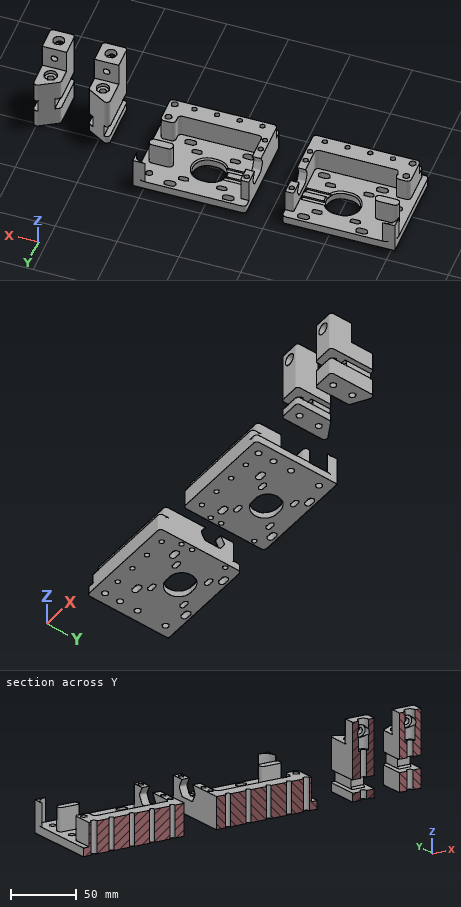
import cadquery as cq
import math

total_length = 305.7
plate_pair_span = 211.8
post_pair_start = 243.5

plate_length = 91.5
plate_width = 78.0
plate_thickness = 7.3
plate_height = 27.0
corner_radius = 3.0

rail_outer_x = 5.0
rail_front_y = 5.2
rail_back_y = 20.2
ledge_height = 16.2
block_inner_x = 16.8
block_back_y = 29.3
arm_inner_x = 84.5
arm_back_y = 70.5
arm_tip_radius = 1.5

notch_y = 50.7
notch_floor_z = 13.0
notch_floor_width = 14.7
notch_side_slope = 30.0
notch_corner_radius = 2.5

spandrel_radius = 9.8
fin_start_x = 5.0
fin_length = 19.3
fin_thickness = 6.5
fin_y = 53.8

motor_x = 52.0
motor_y = 49.5
slot_travel = 4.0
motor_hole_diameter = 23.0
motor_hole_chamfer = 1.2
motor_hole_chamfer_angle = 45.0
small_slot_pitch = 31.0
small_slot_diameter = 4.0
large_slot_pitch = 47.0
large_slot_diameter = 5.2
channel_span = 13.0
channel_rib_width = 5.0
channel_depth = 1.5
channel_end_x = 83.8
channel_end_radius = 1.5

outer_hole_diameter = 5.2
outer_hole_x = 9.8
outer_hole_ys = (9.8, 24.0, 41.0, 68.0)
screw_hole_diameter = 4.0
front_row_start_x = 25.7
front_row_pitch = 18.3
front_row_count = 4
arm_hole_x = 87.7
arm_hole_ys = (23.5, 33.5, 65.5)

post_width = 20.0
post_short_side = 32.5
post_back_angle = 30.0
post_height = 64.2
post_corner_radius = 2.5
post_tip_radius = 3.0
tower_depth = 20.0
shoulder_height = 44.0
clamp_gap = 10.5
neck_width = 11.3
neck_front_y = 18.3
neck_chamfer = 1.5
bolt_hole_diameter = 5.2
bolt_y = 9.8
shoulder_bolt_y = 28.0
cross_hole_z = 54.0
head_bore_diameter = 10.0
tower_bore_diameter = 9.0
tower_bore_depth = 24.5
shoulder_bore_depth = 3.0
cross_bore_depth = 15.3


def cylinders(points, diameter, height):
    """Vertical cylinders standing on z = 0."""
    return cq.Workplane("XY").pushPoints(points).circle(diameter / 2).extrude(height)


def box(x0, x1, y0, y1, z0, z1):
    """Box between two corner points."""
    return cq.Workplane("XY").box(x1 - x0, y1 - y0, z1 - z0, centered=False).translate((x0, y0, z0))


def make_rail():
    """L-shaped rail with a ledge along the front and the notch across its arm."""
    rail = (
        cq.Workplane("XY")
        .moveTo(rail_outer_x, 0)
        .lineTo(plate_length, 0)
        .lineTo(plate_length, arm_back_y)
        .lineTo(arm_inner_x, arm_back_y)
        .lineTo(arm_inner_x, rail_back_y)
        .lineTo(block_inner_x, rail_back_y)
        .lineTo(block_inner_x, block_back_y)
        .lineTo(rail_outer_x, block_back_y)
        .close()
        .extrude(plate_height)
    )

    ledge_cut = box(0, plate_length, 0, rail_front_y, ledge_height, plate_height)
    rail = rail.cut(ledge_cut)

    rail_corners = [
        (rail_outer_x, 0),
        (plate_length, 0),
        (rail_outer_x, rail_front_y),
        (plate_length, rail_front_y),
        (arm_inner_x, rail_back_y),
        (block_inner_x, rail_back_y),
        (block_inner_x, block_back_y),
        (rail_outer_x, block_back_y),
    ]
    rail = round_upright_edges(rail, rail_corners, corner_radius)
    rail = round_upright_edges(rail, [(arm_inner_x, arm_back_y)], arm_tip_radius)

    return rail.cut(make_notch())


def make_notch():
    """Hexagonal cutter for the arm, rounded at its side and floor corners."""
    depth = plate_height - notch_floor_z
    half_floor = notch_floor_width / 2
    half_middle = half_floor + depth / 2 * math.tan(math.radians(notch_side_slope))
    return (
        cq.Workplane("YZ", origin=(arm_inner_x, notch_y, notch_floor_z))
        .moveTo(-half_floor, 0)
        .lineTo(half_floor, 0)
        .lineTo(half_middle, depth / 2)
        .lineTo(half_floor, depth)
        .lineTo(-half_floor, depth)
        .lineTo(-half_middle, depth / 2)
        .close()
        .extrude(plate_length - arm_inner_x)
        .edges("|X and (not >Z)")
        .fillet(notch_corner_radius)
    )


def round_upright_edges(body, corners, radius):
    """Fillet the vertical edges that stand on the given plan points."""
    reach = 0.03
    for x, y in corners:
        column = cq.selectors.BoxSelector((x - reach, y - reach, 0), (x + reach, y + reach, post_height))
        body = body.edges("|Z").edges(column).fillet(radius)
    return body


def make_spandrel():
    """Post in the outer back corner, hollowed by a quarter round."""
    return (
        cq.Workplane("XY")
        .moveTo(0, plate_width)
        .lineTo(0, plate_width - spandrel_radius)
        .radiusArc((spandrel_radius, plate_width), spandrel_radius)
        .close()
        .extrude(plate_height)
    )


def make_fin():
    """Upright fin with rounded ends."""
    return (
        cq.Workplane("XY")
        .center(fin_start_x + fin_length / 2, fin_y)
        .slot2D(fin_length, fin_thickness)
        .extrude(plate_height)
    )


def motor_slots(pitch, diameter):
    """Four through slots on a square around the motor axis."""
    return (
        cq.Workplane("XY")
        .center(motor_x, motor_y)
        .rect(pitch, pitch, forConstruction=True)
        .vertices()
        .slot2D(diameter + slot_travel, diameter)
        .extrude(plate_thickness)
    )


def motor_opening():
    """Elongated motor hole, widened by a chamfer at the plate top."""
    opening = (
        cq.Workplane("XY")
        .center(motor_x, motor_y)
        .slot2D(motor_hole_diameter + slot_travel, motor_hole_diameter)
        .extrude(plate_thickness)
    )
    flare_diameter = motor_hole_diameter + 2 * motor_hole_chamfer
    flare = (
        cq.Workplane("XY", origin=(motor_x, motor_y, plate_thickness))
        .slot2D(flare_diameter + slot_travel, flare_diameter)
        .extrude(-motor_hole_chamfer, taper=motor_hole_chamfer_angle)
    )
    return opening.union(flare)


def motor_channels():
    """Two shallow channels from the motor hole to the arm, with a rib between them."""
    floor_z = plate_thickness - channel_depth
    half_span = channel_span / 2
    channels = box(motor_x, channel_end_x, motor_y - half_span, motor_y + half_span, floor_z, plate_thickness)
    end_corners = [(channel_end_x, motor_y - half_span), (channel_end_x, motor_y + half_span)]
    channels = round_upright_edges(channels, end_corners, channel_end_radius)
    half_rib = channel_rib_width / 2
    rib = box(motor_x, channel_end_x, motor_y - half_rib, motor_y + half_rib, floor_z, plate_thickness)
    return channels.cut(rib)


def make_plate():
    """Base plate for the left-hand side."""
    plate = cq.Workplane("XY").box(plate_length, plate_width, plate_thickness, centered=False)
    rounded = [(0, 0), (plate_length, 0), (plate_length, plate_width)]
    plate = round_upright_edges(plate, rounded, corner_radius)

    plate = plate.cut(motor_channels())
    plate = plate.union(make_rail()).union(make_spandrel()).union(make_fin())

    plate = plate.cut(motor_opening())
    plate = plate.cut(motor_slots(small_slot_pitch, small_slot_diameter))
    plate = plate.cut(motor_slots(large_slot_pitch, large_slot_diameter))

    outer_points = [(outer_hole_x, y) for y in outer_hole_ys]
    row_y = outer_hole_ys[0]
    row_points = [(front_row_start_x + i * front_row_pitch, row_y) for i in range(front_row_count)]
    arm_points = [(arm_hole_x, y) for y in arm_hole_ys]
    plate = plate.cut(cylinders(outer_points, outer_hole_diameter, plate_height))
    return plate.cut(cylinders(row_points + arm_points, screw_hole_diameter, plate_height))


def make_post(gap_floor_z):
    """Clamp post with its sharp tip on the left and a clamping gap above gap_floor_z."""
    long_side = post_short_side + post_width * math.tan(math.radians(post_back_angle))
    post = (
        cq.Workplane("XY")
        .lineTo(post_width, 0)
        .lineTo(post_width, post_short_side)
        .lineTo(0, long_side)
        .close()
        .extrude(post_height)
    )
    blunt_corners = [(0, 0), (post_width, 0), (post_width, post_short_side)]
    post = round_upright_edges(post, blunt_corners, post_corner_radius)
    post = round_upright_edges(post, [(0, long_side)], post_tip_radius)

    post = post.cut(box(0, post_width, tower_depth, long_side, shoulder_height, post_height))
    post = post.cut(clamping_gap(gap_floor_z, long_side))

    bolt_x = post_width / 2
    bolt_points = [(bolt_x, bolt_y), (bolt_x, shoulder_bolt_y)]
    post = post.cut(cylinders(bolt_points, bolt_hole_diameter, post_height))
    tower_bore = cylinders([bolt_points[0]], tower_bore_diameter, tower_bore_depth)
    post = post.cut(tower_bore.translate((0, 0, post_height - tower_bore_depth)))
    shoulder_bore = cylinders([bolt_points[1]], head_bore_diameter, shoulder_bore_depth)
    post = post.cut(shoulder_bore.translate((0, 0, shoulder_height - shoulder_bore_depth)))

    front_face = cq.Workplane("XZ", origin=(bolt_x, 0, cross_hole_z))
    post = post.cut(front_face.circle(bolt_hole_diameter / 2).extrude(-tower_depth))
    return post.cut(front_face.circle(head_bore_diameter / 2).extrude(-cross_bore_depth))


def clamping_gap(floor_z, depth):
    """Gap that runs round the front and both sides of a central neck."""
    gap = box(0, post_width, 0, depth, floor_z, floor_z + clamp_gap)
    side = (post_width - neck_width) / 2
    neck = box(side, post_width - side, neck_front_y, depth, floor_z, floor_z + clamp_gap)
    foot = (
        cq.Workplane("YZ", origin=(side, 0, 0))
        .moveTo(neck_front_y - neck_chamfer, floor_z)
        .lineTo(neck_front_y, floor_z)
        .lineTo(neck_front_y, floor_z + neck_chamfer)
        .close()
        .extrude(neck_width)
    )
    middle_z = floor_z + clamp_gap / 2
    crown = foot.mirror("XY", (0, 0, middle_z))
    return gap.cut(neck).cut(foot).cut(crown)


left_plate = make_plate()
right_plate = left_plate.mirror("YZ", (plate_pair_span / 2, 0, 0))

left_post = make_post(plate_thickness).translate((post_pair_start, 0, 0))
right_post = make_post(ledge_height).mirror("YZ").translate((total_length, 0, 0))

result = cq.Compound.makeCompound(
    [left_plate.val(), right_plate.val(), left_post.val(), right_post.val()]
)